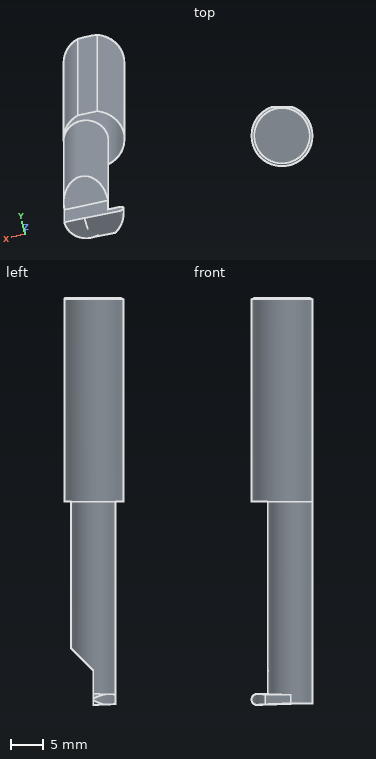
import cadquery as cq

total_height = 63.5
shank_radius = 4.75
shank_bottom = 31.75
flat_y = 4.5
top_chamfer_radial = 0.45
top_chamfer_height = 0.25

neck_radius = 3.5
neck_center_x = shank_radius - neck_radius
neck_bottom = 0.25

ramp_start_z = 5.4

nose_radius = 0.9
back_taper_rise = 0.2
head_right_x = 1.5
relief_angle = 2.0
head_depth = neck_radius
flank_mid = (-4.1, -1.85)
flank_end = (-2.85, -3.3)
heel_x = -2.6


def make_shank():
    top_radius = shank_radius - top_chamfer_radial
    shank = (
        cq.Workplane("XZ")
        .moveTo(0, shank_bottom)
        .lineTo(shank_radius, shank_bottom)
        .lineTo(shank_radius, total_height - top_chamfer_height)
        .lineTo(top_radius, total_height)
        .lineTo(0, total_height)
        .close()
        .revolve(360, (0, 0), (0, 1))
    )
    beyond_flat = (
        cq.Workplane("XY")
        .box(2 * shank_radius, shank_radius, total_height, centered=(True, False, False))
        .translate((0, flat_y, 0))
    )
    return shank.cut(beyond_flat)


def make_neck():
    neck = (
        cq.Workplane("XY", origin=(neck_center_x, 0, neck_bottom))
        .circle(neck_radius)
        .extrude(shank_bottom - neck_bottom)
    )
    relief_depth = 2 * neck_radius
    ramp_end_z = ramp_start_z + relief_depth
    relief = (
        cq.Workplane("YZ", origin=(neck_center_x, 0, 0))
        .polyline([(0, 0), (relief_depth, 0), (relief_depth, ramp_end_z), (0, ramp_start_z)])
        .close()
        .extrude(neck_radius, both=True)
    )
    return neck.cut(relief)


def make_head():
    nose_center_x = nose_radius - shank_radius
    head_height = 2 * nose_radius
    blade = (
        cq.Workplane("XZ")
        .moveTo(head_right_x, back_taper_rise)
        .lineTo(head_right_x, head_height)
        .lineTo(nose_center_x, head_height)
        .threePointArc((-shank_radius, nose_radius), (nose_center_x, 0))
        .close()
        .extrude(head_depth, taper=relief_angle)
    )
    plan = (
        cq.Workplane("XY")
        .moveTo(-shank_radius, 0)
        .threePointArc(flank_mid, flank_end)
        .lineTo(heel_x, -head_depth)
        .lineTo(head_right_x, -head_depth)
        .lineTo(head_right_x, 0)
        .close()
        .extrude(head_height)
    )
    return blade.intersect(plan)


result = make_shank().union(make_neck()).union(make_head())